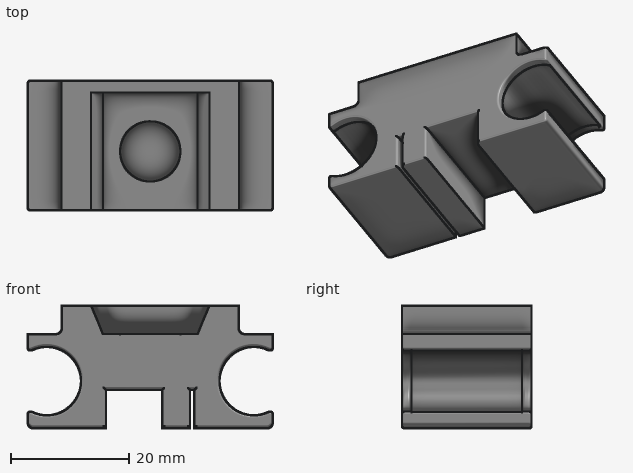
import cadquery as cq
import math

length = 41.5
width = 22.0
height = 20.8

body_half_width = 15.0
flange_top = 15.98
flange_fillet = 1.0

pocket_floor = flange_top
pocket_top_half_width = 10.0
pocket_floor_half_width = 8.0
pocket_back_wall = 2.0

recess_diameter = 10.2
recess_depth = 5.0

channel_inset = 3.25
channel_height = 8.0
channel_radius = 5.75

lip_width = 1.1
lip_round_width = 0.5
relief_radius = 6.0

slot_depth = 6.47
slots = [(-7.45, 2.0), (6.75, 7.43)]

edge_round = 0.5
bottom_corner_round = 1.0

tolerance = 0.05


def block(x_min, x_max, z_min, z_max):
    """Rectangular block over the full width of the part."""
    return (
        cq.Workplane("XY")
        .box(x_max - x_min, width, z_max - z_min, centered=False)
        .translate((x_min, -width / 2, z_min))
    )


def channel_x(side):
    return side * (length / 2 - channel_inset)


def lengthwise_edges(shape, x, z_min, z_max):
    """Edges along Y that lie at the given X, between two heights."""
    region = cq.selectors.BoxSelector(
        (x - tolerance, -tolerance, z_min),
        (x + tolerance, tolerance, z_max),
    )
    return shape.edges(region)


def channel(side):
    return (
        cq.Workplane("XZ", origin=(channel_x(side), 0, channel_height))
        .circle(channel_radius)
        .extrude(width / 2, both=True)
    )


def channel_relief(side):
    """Body of revolution about the channel axis; its ends flare tangentially from the lips."""
    lip_end = width / 2 - lip_width
    relief_end = lip_end - lip_round_width
    step = relief_radius - channel_radius
    round_radius = (lip_round_width**2 + step**2) / (2 * step)
    sweep = math.asin(lip_round_width / round_radius) / 2
    arc_radius = channel_radius + round_radius * (1 - math.cos(sweep))
    arc_end = lip_end - round_radius * math.sin(sweep)
    profile = (
        cq.Workplane("XY")
        .moveTo(0, -lip_end)
        .lineTo(channel_radius, -lip_end)
        .threePointArc((arc_radius, -arc_end), (relief_radius, -relief_end))
        .lineTo(relief_radius, relief_end)
        .threePointArc((arc_radius, arc_end), (channel_radius, lip_end))
        .lineTo(0, lip_end)
        .close()
    )
    relief = profile.revolve(360, (0, 0, 0), (0, 1, 0))
    return relief.translate((channel_x(side), 0, channel_height))


def dovetail_pocket():
    return (
        cq.Workplane("XZ", origin=(0, width / 2 - pocket_back_wall, 0))
        .polyline([
            (-pocket_floor_half_width, pocket_floor),
            (pocket_floor_half_width, pocket_floor),
            (pocket_top_half_width, height),
            (-pocket_top_half_width, height),
        ])
        .close()
        .extrude(width)
    )


def recess():
    return (
        cq.Workplane("XY", origin=(0, -pocket_back_wall / 2, pocket_floor))
        .circle(recess_diameter / 2)
        .extrude(-recess_depth)
    )


base = block(-length / 2, length / 2, 0, flange_top)
base = base.edges("|Y and <Z").fillet(bottom_corner_round)
for side in (-1, 1):
    base = base.cut(channel(side))
for left, right in slots:
    base = base.cut(block(left, right, 0, slot_depth))

for side in (-1, 1):
    mouth_bottom = channel_height - channel_radius
    mouth_top = channel_height + channel_radius
    base = lengthwise_edges(base, side * length / 2, mouth_bottom, mouth_top).fillet(edge_round)
base = base.faces("<Y or >Y").edges("not >Z").fillet(edge_round)

for side in (-1, 1):
    base = base.cut(channel_relief(side))

result = base.union(block(-body_half_width, body_half_width, flange_top, height))
for side in (-1, 1):
    foot = lengthwise_edges(
        result, side * body_half_width, flange_top - tolerance, flange_top + tolerance
    )
    result = foot.fillet(flange_fillet)

result = result.cut(dovetail_pocket()).cut(recess())